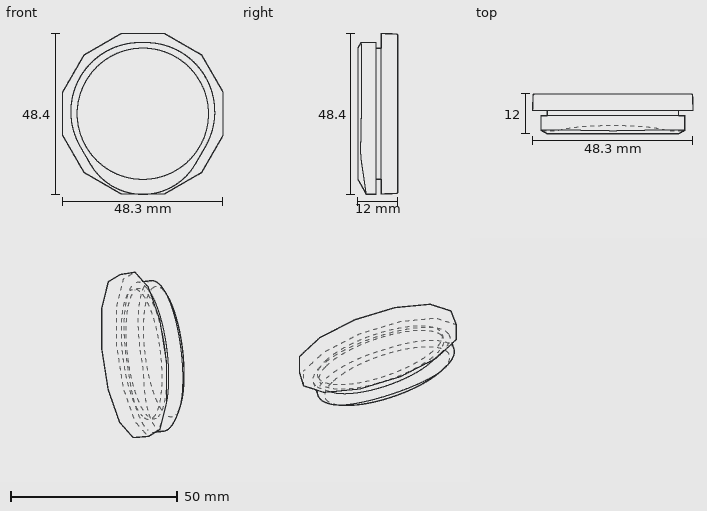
import cadquery as cq
import math

lid_depth = 5.5
neck_depth = 1.5
flange_depth = 5.0

flange_sides = 12
flange_across_flats = 48.3
flange_draft = 2.0
flange_corner_round = 0.6
flange_rear_round = 0.5

neck_diameter = 39.5
bevel_angle = 29.0

lobe_radius = 18.2
lobe_center_z = -6.05
side_radius = 20.8
side_center_x = 0.8
flat_angle = 30.0

overlap = 0.25


def polar_offset(radius, angle):
    """X and Z offsets of a point on a circle at the given angle above +X."""
    return (
        radius * math.cos(math.radians(angle)),
        radius * math.sin(math.radians(angle)),
    )


def forward_plane(y):
    """Sketch plane at depth y, with local x = X, local y = Z, and extrusion toward -Y."""
    return cq.Workplane("XZ", origin=(0, y, 0))


def make_lid_blank():
    normal_x, normal_z = polar_offset(1, -flat_angle)
    flat_distance = lobe_radius + lobe_center_z * normal_z
    side_center_z = (flat_distance - side_radius - side_center_x * normal_x) / normal_z

    def side_point(angle):
        x, z = polar_offset(side_radius, angle)
        return side_center_x + x, side_center_z + z

    def lobe_point(angle):
        x, z = polar_offset(lobe_radius, angle)
        return x, lobe_center_z + z

    def mirrored(point):
        return -point[0], point[1]

    side_top = side_point(90)
    side_middle = side_point(flat_angle)
    side_end = side_point(-flat_angle)
    lobe_start = lobe_point(-flat_angle)
    lobe_bottom = lobe_point(-90)

    return (
        forward_plane(lid_depth)
        .moveTo(*side_top)
        .threePointArc(side_middle, side_end)
        .lineTo(*lobe_start)
        .threePointArc(lobe_bottom, mirrored(lobe_start))
        .lineTo(*mirrored(side_end))
        .threePointArc(mirrored(side_middle), mirrored(side_top))
        .close()
        .extrude(lid_depth)
    )


def make_bevel_cone():
    """Cone that leaves the round lid face at Y = 0 and bevels the lid edge behind it."""
    face_radius = neck_diameter / 2
    base_radius = face_radius + lid_depth / math.tan(math.radians(bevel_angle))
    return (
        cq.Workplane("XY")
        .polyline([(0, 0), (face_radius, 0), (base_radius, lid_depth), (0, lid_depth)])
        .close()
        .revolve(360, (0, 0, 0), (0, 1, 0))
    )


def make_neck():
    return (
        forward_plane(lid_depth + neck_depth + overlap)
        .circle(neck_diameter / 2)
        .extrude(neck_depth + 2 * overlap)
    )


def make_flange():
    corner_radius = flange_across_flats / 2 / math.cos(math.pi / flange_sides)
    half_side_angle = 180 / flange_sides
    corners = [
        polar_offset(corner_radius, half_side_angle * (2 * side + 1))
        for side in range(flange_sides)
    ]
    return (
        forward_plane(lid_depth + neck_depth)
        .polyline(corners)
        .close()
        .extrude(-flange_depth, taper=flange_draft)
        .edges("not(#Y)")
        .fillet(flange_corner_round)
        .faces(">Y")
        .edges()
        .fillet(flange_rear_round)
    )


lid = make_lid_blank().intersect(make_bevel_cone())
result = lid.union(make_neck()).union(make_flange())